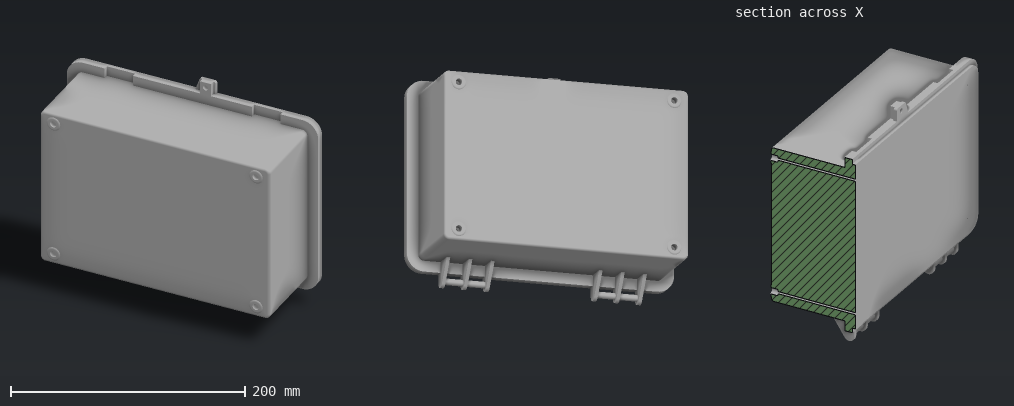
import cadquery as cq
import math


box_width = 219.4
box_height = 150.0
box_depth = 72.2
box_corner_radius = 4.8
box_floor_fillet = 2.5

flange_width = 240.0
flange_height = 169.2
flange_thickness = 7.7
flange_corner_radius = 15.0
lip_inset = 4.5
lip_corner_radius = 12.0
lip_height = 3.0

notch_width = 27.0
notch_depth = 4.0
notch_offset = 70.3

tab_top = 96.7
tab_center = 12.5
tab_block_width = 10.5
tab_hole_diameter = 4.8
tab_hole_z = 91.5
wing_thickness = 3.0
wing_left_bottom = 0.5
wing_left_top = 4.8
wing_right = 20.0
wing_corner_radius = 2.0

hinge_offset = 68.5
rib_spacing = 20.0
rib_thickness = 3.0
knuckle_radius = 5.3
knuckle_y = 0.5
hinge_bottom = -97.7
rib_reach = 17.8
pin_radius = 3.0
pin_lift = 0.5

foot_offset_x = 96.7
foot_offset_z = 65.0
foot_radius = 6.5
foot_face_radius = 4.8
foot_height = 0.7
screw_recess_radius = 3.0
screw_recess_depth = 7.2
screw_hole_radius = 0.85

overlap = 2.5

box_bottom = -box_height / 2
flange_top = flange_height / 2
lip_top_y = flange_thickness + lip_height
foot_face_y = -box_depth - foot_height
knuckle_z = hinge_bottom + knuckle_radius


def prism_y(sketch, start_y, end_y):
    """Extrude an outline drawn in X-Z from start_y to a larger end_y."""
    return sketch(cq.Workplane("XZ", origin=(0, end_y, 0))).extrude(end_y - start_y)


def rounded_plate(width, height, radius, start_y, end_y):
    """Rectangular plate facing Y with rounded corners."""
    plate = prism_y(lambda plane: plane.rect(width, height), start_y, end_y)
    return plate.edges("|Y").fillet(radius)


def cylinder_y(x, z, radius, start_y, end_y):
    return prism_y(lambda plane: plane.center(x, z).circle(radius), start_y, end_y)


def make_box():
    box = rounded_plate(box_width, box_height, box_corner_radius, -box_depth, 0)
    return box.faces("<Y").edges().fillet(box_floor_fillet)


def make_flange():
    flange = rounded_plate(flange_width, flange_height, flange_corner_radius, 0, flange_thickness)
    border = (flange_height - box_height) / 2
    for side in (-1, 1):
        notch = cq.Workplane("XY").box(notch_width, notch_depth, border, centered=(True, False, False))
        flange = flange.cut(notch.translate((side * notch_offset, 0, box_height / 2)))
    return flange


def make_lip():
    width = flange_width - 2 * lip_inset
    height = flange_height - 2 * lip_inset
    return rounded_plate(width, height, lip_corner_radius, flange_thickness - overlap, lip_top_y)


def make_tab():
    """Full-thickness block with a thin wing on each side and one hole."""
    root_z = flange_top - overlap
    wing_outline = [
        (wing_left_bottom, root_z),
        (wing_left_bottom, flange_top),
        (wing_left_top, tab_top),
        (wing_right, tab_top),
        (wing_right, root_z),
    ]
    wing = prism_y(lambda plane: plane.polyline(wing_outline).close(),
                   flange_thickness - wing_thickness, flange_thickness)
    wing = wing.edges("|Y and >Z").fillet(wing_corner_radius)

    block = cq.Workplane("XY").box(tab_block_width, flange_thickness, tab_top - root_z,
                                   centered=(True, False, False))
    tab = wing.union(block.translate((tab_center, 0, root_z)))
    hole = cylinder_y(tab_center, tab_hole_z, tab_hole_diameter / 2, 0, flange_thickness)
    return tab.cut(hole)


def make_rib(center_x):
    """Triangular rib that ends in a round knuckle tangent to both of its sides."""
    tip_y = -rib_reach
    rise = box_bottom - knuckle_z
    run = tip_y - knuckle_y
    tangent_angle = math.atan2(rise, run) + math.acos(knuckle_radius / math.hypot(run, rise))
    tangent_y = knuckle_y + knuckle_radius * math.cos(tangent_angle)
    tangent_z = knuckle_z + knuckle_radius * math.sin(tangent_angle)
    back_y = knuckle_y + knuckle_radius
    return (
        cq.Workplane("YZ", origin=(center_x - rib_thickness / 2, 0, 0))
        .moveTo(back_y, box_bottom + overlap)
        .lineTo(tip_y, box_bottom + overlap)
        .lineTo(tip_y, box_bottom)
        .lineTo(tangent_y, tangent_z)
        .threePointArc((knuckle_y, hinge_bottom), (back_y, knuckle_z))
        .close()
        .extrude(rib_thickness)
    )


def make_hinge(center_x):
    """Three ribs joined by one pin."""
    pin_length = 2 * rib_spacing
    hinge = (
        cq.Workplane("YZ", origin=(center_x - pin_length / 2, 0, 0))
        .center(knuckle_y, knuckle_z + pin_lift)
        .circle(pin_radius)
        .extrude(pin_length)
    )
    for step in (-1, 0, 1):
        hinge = hinge.union(make_rib(center_x + step * rib_spacing))
    return hinge


def make_foot(x, z):
    """Low round foot whose edge curves down from its flat face."""
    edge_width = foot_radius - foot_face_radius
    foot = (
        cq.Workplane("XY")
        .moveTo(0, foot_face_y)
        .lineTo(foot_face_radius, foot_face_y)
        .tangentArcPoint((edge_width, foot_height))
        .lineTo(foot_radius, -box_depth + overlap)
        .lineTo(0, -box_depth + overlap)
        .close()
        .revolve(360, (0, 0, 0), (0, 1, 0))
    )
    return foot.translate((x, 0, z))


result = make_box().union(make_flange()).union(make_lip()).union(make_tab())

for side in (-1, 1):
    result = result.union(make_hinge(side * hinge_offset))

foot_places = [(i * foot_offset_x, k * foot_offset_z) for i in (-1, 1) for k in (-1, 1)]
for x, z in foot_places:
    recess = cylinder_y(x, z, screw_recess_radius, foot_face_y, foot_face_y + screw_recess_depth)
    screw_hole = cylinder_y(x, z, screw_hole_radius, foot_face_y, lip_top_y)
    result = result.union(make_foot(x, z)).cut(recess).cut(screw_hole)